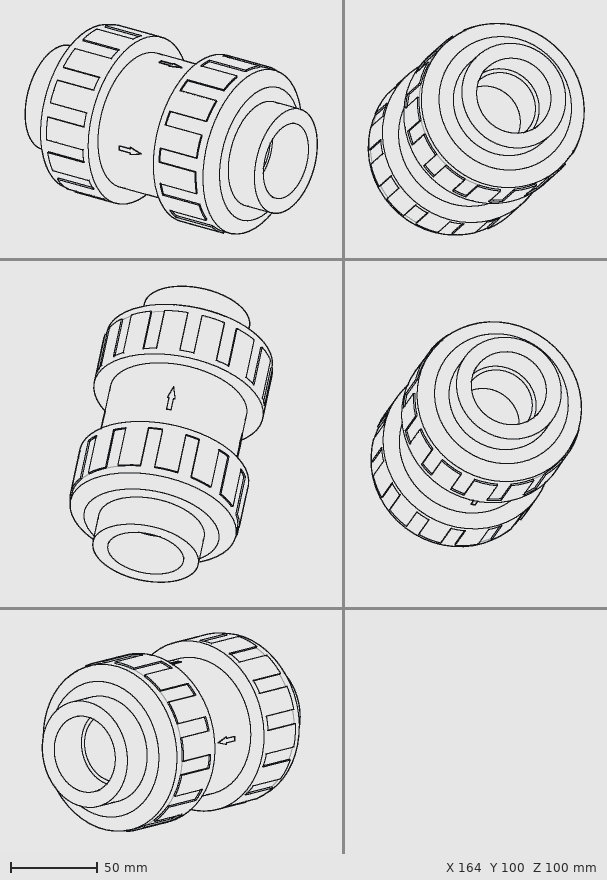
import cadquery as cq

length = 164.0

body_radius = 40.3
spigot_diameter = 62.5

socket_diameter = 44.8
socket_depth = 25.7
port_diameter = 40.2

nut_inner_x = 23.3
nut_outer_x = 63.3
nut_shoulder_x = 58.0
grip_outer_x = 53.1
nut_radius = 49.0
nut_face_radius = 39.9

port_depth = length / 2 - nut_inner_x

grip_radius = 50.0
groove_inner_x = 27.2
groove_count = 14
groove_angle = 9.7
cut_overshoot = 1.6

arrow_count = 4
arrow_half_length = 7.9
arrow_shaft_half_width = 1.3
arrow_head_half_width = 2.3
arrow_radius = 40.7
arrow_root_depth = 1.6


def cylinder(start_x, end_x, radius):
    """Cylinder on the X axis between two stations."""
    return cq.Workplane("YZ", origin=(start_x, 0, 0)).circle(radius).extrude(end_x - start_x)


def turned(outline, angle=360):
    """Revolve an outline of (x, radius) points about the X axis, starting from +Z."""
    return cq.Workplane("XZ").polyline(outline).close().revolve(angle, (0, 0, 0), (1, 0, 0))


def make_nut():
    """Nut at the +X end, with its grip grooves."""
    nut = turned([
        (nut_inner_x, 0),
        (nut_inner_x, grip_radius),
        (grip_outer_x, grip_radius),
        (grip_outer_x, nut_radius),
        (nut_shoulder_x, nut_radius),
        (nut_outer_x, nut_face_radius),
        (nut_outer_x, 0),
    ])
    cut_radius = grip_radius + cut_overshoot
    groove = turned([
        (groove_inner_x, nut_radius),
        (groove_inner_x, cut_radius),
        (grip_outer_x, cut_radius),
        (grip_outer_x, nut_radius),
    ], groove_angle)
    for i in range(groove_count):
        nut = nut.cut(groove.rotate((0, 0, 0), (1, 0, 0), i * 360 / groove_count))
    return nut


def make_arrow():
    """Arrow on the top of the body, pointing to +X, with a face concentric to the body."""
    outline = [
        (-arrow_half_length, -arrow_shaft_half_width),
        (0, -arrow_shaft_half_width),
        (0, -arrow_head_half_width),
        (arrow_half_length, 0),
        (0, arrow_head_half_width),
        (0, arrow_shaft_half_width),
        (-arrow_half_length, arrow_shaft_half_width),
    ]
    prism = (
        cq.Workplane("XY", origin=(0, 0, body_radius - arrow_root_depth))
        .polyline(outline).close().extrude(2 * arrow_root_depth)
    )
    return prism.intersect(cylinder(-arrow_half_length, arrow_half_length, arrow_radius))


def make_bore():
    """Socket and narrower port sunk into the +X end."""
    end_x = length / 2
    socket = cylinder(end_x - socket_depth, end_x, socket_diameter / 2)
    return socket.union(cylinder(end_x - port_depth, end_x, port_diameter / 2))


def both_ends(end_feature):
    """The +X feature and its copy turned half a turn about Y."""
    return [end_feature, end_feature.rotate((0, 0, 0), (0, 1, 0), 180)]


result = cylinder(-length / 2, length / 2, spigot_diameter / 2)
result = result.union(cylinder(-nut_inner_x, nut_inner_x, body_radius))

for nut in both_ends(make_nut()):
    result = result.union(nut)

for i in range(arrow_count):
    result = result.union(make_arrow().rotate((0, 0, 0), (1, 0, 0), i * 360 / arrow_count))

for bore in both_ends(make_bore()):
    result = result.cut(bore)